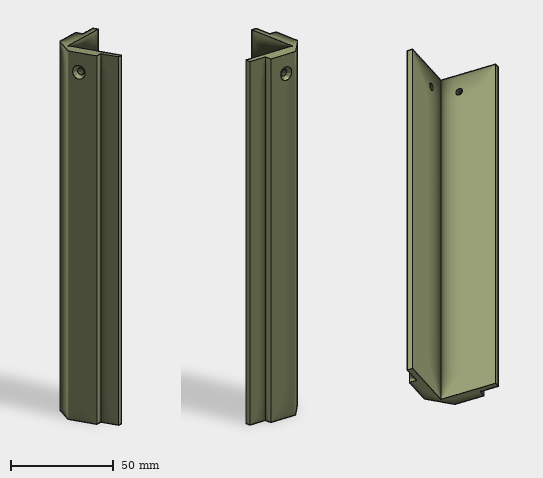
import cadquery as cq

length = 188.5
leg_width = 37.0
lip_thickness = 3.0
pad_thickness = 4.0
lip_width = 10.0
corner_chamfer = 11.0
chamfer_edge_radius = 1.1

hole_diameter = 3.5
sink_diameter = 7.0
sink_angle = 82.0
hole_offset = 17.0
hole_top_distance = 10.0

wall = lip_thickness + pad_thickness
pad_end = leg_width - lip_width


def angle_body():
    """Extrude the L-shaped section and round the edges of its outer chamfer."""
    section = [
        (corner_chamfer, 0),
        (pad_end, 0),
        (pad_end, pad_thickness),
        (leg_width, pad_thickness),
        (leg_width, wall),
        (wall, wall),
        (wall, leg_width),
        (pad_thickness, leg_width),
        (pad_thickness, pad_end),
        (0, pad_end),
        (0, corner_chamfer),
    ]
    body = cq.Workplane("XY").polyline(section).close().extrude(length)
    chamfer_edges = body.faces("<(1, 1, 0)").edges("|Z")
    return chamfer_edges.fillet(chamfer_edge_radius)


def drill_leg(body, outer_face):
    """Drill a countersunk hole inward from the outer face of one leg."""
    hole_center = (hole_offset, hole_offset, length - hole_top_distance)
    return (
        body.faces(outer_face)
        .workplane(origin=hole_center)
        .cskHole(hole_diameter, sink_diameter, sink_angle)
    )


result = angle_body()
for outer_face in ("<X", "<Y"):
    result = drill_leg(result, outer_face)